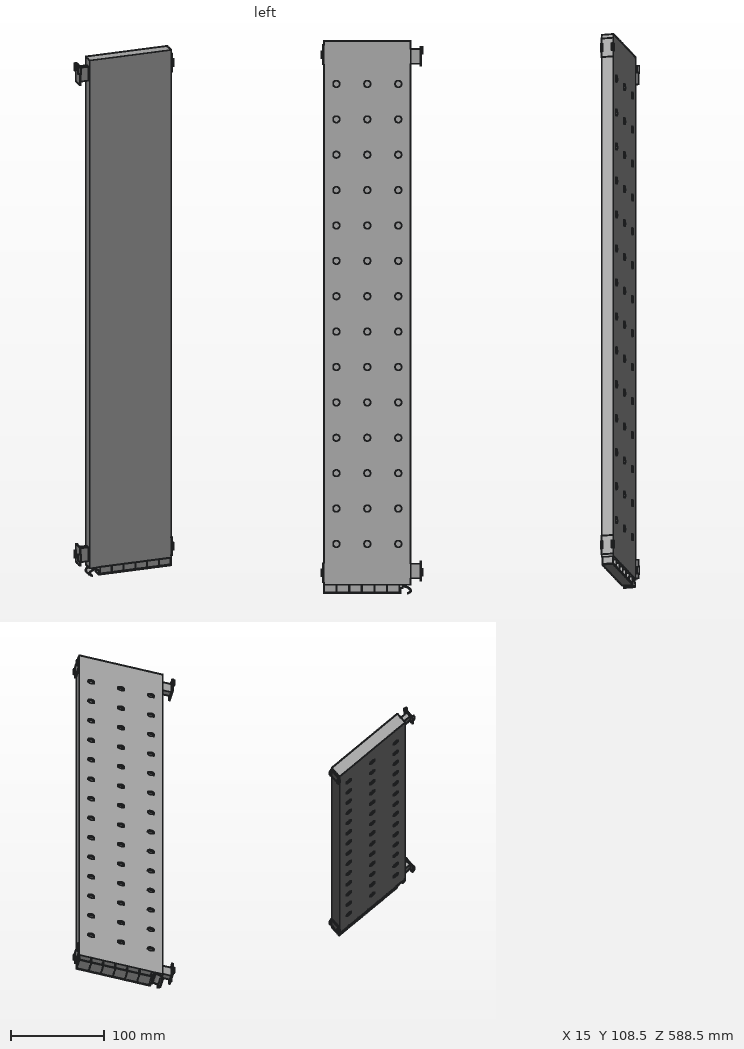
import cadquery as cq

overall_height = 588.5
hook_drop = 9.5
panel_height = overall_height - hook_drop
panel_thick = 13.0
panel_width = 92.5
panel_half_width = panel_width / 2

hole_diameter = 7.0
hole_depth = 2.0
hole_columns = 3
hole_rows = 14
hole_column_pitch = 33.0
hole_row_pitch = 37.5
lowest_hole_height = 43.5
hole_grid_middle = lowest_hole_height + hole_row_pitch * (hole_rows - 1) / 2

tray_width = 12.0
tray_length = 82.0
tray_depth = 9.0
tray_wall = 0.5
tray_end_wall = 2.0
tray_floor = 1.0
cell_count = 6
cell_pitch = (tray_length - tray_end_wall) / cell_count
cell_length = cell_pitch - tray_wall
cell_height = tray_depth - tray_floor
tray_end_y = panel_half_width - tray_length

hook_root_length = 2.5
hook_root_thick = 3.5
hook_thick = 0.9
hook_top_drop = 1.0
hook_reach = 9.0
hook_nose_drop = 7.0
hook_return = 3.5

clip_width = 15.0
plate_thick = 1.0
plate_height = 20.5
ear_width = 2.5
ear_height = 7.5
ear_rise = 2.0
ear_taper = 0.5
neck_width = 5.5
neck_height = 16.0
neck_length = 10.0
front_clip_low = 15.0
front_clip_high = panel_height - 16.5
rear_clip_low = 13.0
rear_clip_high = panel_height - 15.0
upper_front_ear_offset = 6.5
lower_front_ear_offset = -1.0


def box(x_size, y_range, z_range):
    """A block centred on X = 0 that spans the given Y and Z ranges."""
    y_low, y_high = y_range
    z_low, z_high = z_range
    return cq.Workplane("XY").box(
        x_size, y_high - y_low, z_high - z_low, centered=(True, False, False)
    ).translate((0, y_low, z_low))


def make_holes():
    """The grid of hole cutters, sunk into the -X side."""
    return (
        cq.Workplane("YZ", origin=(-panel_thick / 2, 0, hole_grid_middle))
        .rarray(hole_column_pitch, hole_row_pitch, hole_columns, hole_rows)
        .circle(hole_diameter / 2)
        .extrude(hole_depth)
    )


def make_tray():
    """The tray: cells open to -X, closed on +X by a thin wall."""
    tray = box(tray_width, (tray_end_y, panel_half_width), (-tray_depth, 0))
    for cell in range(cell_count):
        y_low = tray_end_y + tray_end_wall + cell * cell_pitch
        opening = box(tray_width, (y_low, y_low + cell_length), (-cell_height, 0))
        tray = tray.cut(opening.translate((-tray_wall, 0, 0)))
    return tray


def make_hook():
    """The root bar and the thin curved blade, as wide as the tray."""
    root_y = tray_end_y - hook_root_length
    nose_y = root_y - hook_reach
    tip_y = nose_y + hook_return
    blade_drop = hook_nose_drop - hook_top_drop
    root = box(tray_width, (root_y, tray_end_y), (-hook_root_thick, 0))
    blade = (
        cq.Workplane("YZ", origin=(-tray_width / 2, 0, 0))
        .moveTo(root_y, -hook_top_drop)
        .ellipseArc(hook_reach, blade_drop, 90, 180, startAtCurrent=True, sense=1)
        .lineTo(tip_y, -hook_drop)
        .lineTo(tip_y, -hook_drop + hook_thick)
        .lineTo(nose_y + hook_thick, -hook_nose_drop)
        .ellipseArc(
            hook_reach - hook_thick, blade_drop - hook_thick, 90, 180,
            startAtCurrent=True, sense=-1,
        )
        .close()
        .extrude(tray_width)
    )
    return root.union(blade)


def make_panel():
    slab = box(panel_thick, (-panel_half_width, panel_half_width), (0, panel_height))
    return slab.cut(make_holes()).union(make_tray()).union(make_hook())


def make_ears(outward):
    """A pair of ears standing on Y = 0, level with Z = 0; outward is the sign of their Y direction."""
    outer_x = clip_width / 2
    inner_x = outer_x - ear_width
    shoulder_y = outward * plate_thick
    tip_y = outward * (plate_thick + ear_rise)
    ear = (
        cq.Workplane("XY")
        .polyline([
            (inner_x, 0),
            (outer_x, 0),
            (outer_x, shoulder_y),
            (outer_x - ear_taper, tip_y),
            (inner_x, tip_y),
        ])
        .close()
        .extrude(ear_height / 2, both=True)
    )
    return ear.union(ear.mirror("YZ"))


def make_rear_clip(z_middle):
    """A flat clip lying on the +Y side of the panel."""
    plate_y = panel_half_width + plate_thick
    plate = box(
        panel_thick,
        (panel_half_width, plate_y),
        (z_middle - plate_height / 2, z_middle + plate_height / 2),
    )
    return plate.union(make_ears(1).translate((0, panel_half_width, z_middle)))


def make_front_clip(z_middle, ear_offset):
    """A clip that stands off the -Y side of the panel on a neck."""
    plate_back = -panel_half_width - neck_length
    plate_front = plate_back - plate_thick
    neck = box(
        neck_width,
        (plate_back, -panel_half_width),
        (z_middle - neck_height / 2, z_middle + neck_height / 2),
    )
    plate = box(
        panel_thick,
        (plate_front, plate_back),
        (z_middle - plate_height / 2, z_middle + plate_height / 2),
    )
    ears = make_ears(-1).translate((0, plate_back, z_middle + ear_offset))
    return neck.union(plate).union(ears)


panel = make_panel()
rear_clips = [make_rear_clip(z_middle) for z_middle in (rear_clip_low, rear_clip_high)]
front_clips = [
    make_front_clip(front_clip_low, lower_front_ear_offset),
    make_front_clip(front_clip_high, upper_front_ear_offset),
]
result = cq.Compound.makeCompound(
    [panel.val()] + [clip.val() for clip in rear_clips + front_clips]
)